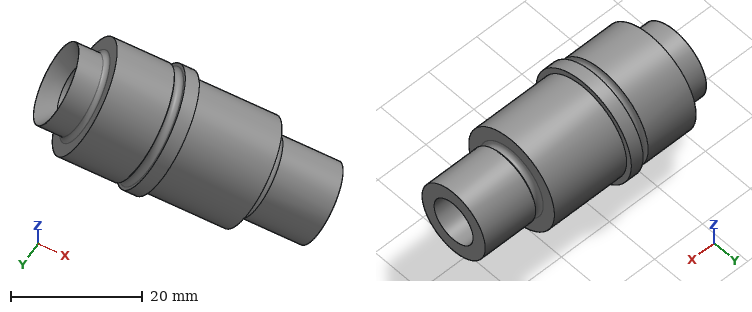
import cadquery as cq

spigot_diameter = 14.0
body_diameter = 20.0
collar_diameter = 21.1
barrel_diameter = 19.0
tail_diameter = spigot_diameter

total_length = 46.1
body_start = 5.0
body_end = 15.0
collar_end = 19.0
barrel_end = 34.0

relief_radius = 0.8
collar_start = body_end + 2 * relief_radius

bore_diameter = 8.6
mouth_diameter = 13.9
mouth_depth = (mouth_diameter - bore_diameter) / 2

spigot_radius = spigot_diameter / 2
body_radius = body_diameter / 2
collar_radius = collar_diameter / 2
barrel_radius = barrel_diameter / 2
tail_radius = tail_diameter / 2
bore_radius = bore_diameter / 2
mouth_radius = mouth_diameter / 2


def add_groove(profile, start, radius):
    """Continue the profile with a semicircular groove sunk below the given radius."""
    return profile.threePointArc(
        (start + relief_radius, radius - relief_radius),
        (start + 2 * relief_radius, radius),
    )


profile = (
    cq.Workplane("XY")
    .moveTo(0, mouth_radius)
    .lineTo(0, spigot_radius)
    .lineTo(body_start - relief_radius, spigot_radius)
    .radiusArc((body_start, spigot_radius + relief_radius), -relief_radius)
    .lineTo(body_start, body_radius)
    .lineTo(body_end, body_radius)
)
profile = add_groove(profile, body_end, body_radius)
profile = (
    profile.lineTo(collar_start, collar_radius)
    .lineTo(collar_end, collar_radius)
    .lineTo(collar_end, barrel_radius)
    .lineTo(barrel_end, barrel_radius)
    .lineTo(barrel_end, tail_radius)
)
profile = add_groove(profile, barrel_end, tail_radius)
profile = (
    profile.lineTo(total_length, tail_radius)
    .lineTo(total_length, bore_radius)
    .lineTo(mouth_depth, bore_radius)
    .close()
)

result = profile.revolve(360, (0, 0, 0), (1, 0, 0)).translate((-total_length / 2, 0, 0))